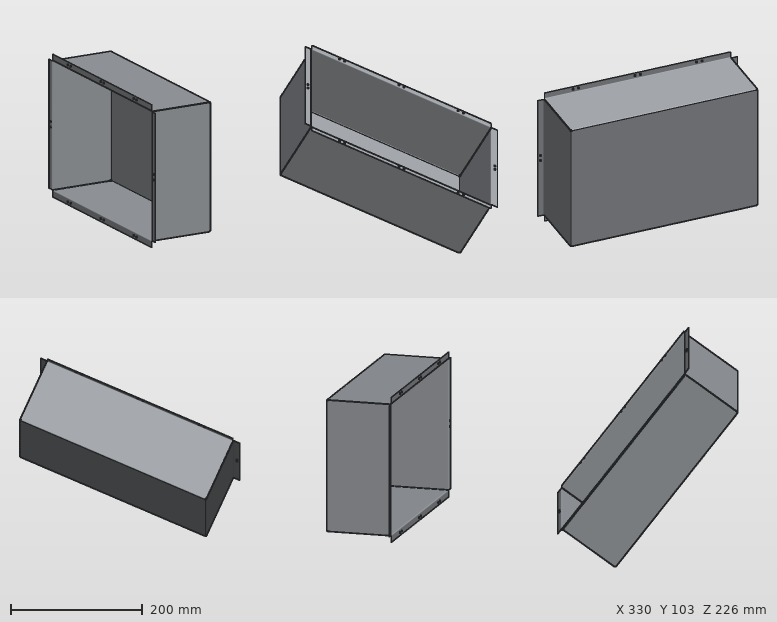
import cadquery as cq

width = 330.0
depth = 103.0
height = 226.0

sheet = 1.0
bend_radius = 0.82

flange_reach = 10.0
corner_gap = 0.15
flange_corner_radius = 1.5

relief = 2.3

hole_diameter = 3.0
hole_spacing = 9.0
pair_offset = 102.0
hole_inset = 4.5

box_width = width - 2 * flange_reach
box_height = height - 2 * flange_reach
front = -depth / 2
back = depth / 2


def folded_side(outer_half, length):
    """Half of the back panel, the side wall at +X and its outward flange."""
    inner_half = outer_half - sheet
    flange_edge = outer_half + flange_reach
    panel_end = inner_half - bend_radius
    flange_start = outer_half + bend_radius
    back_bend_end = back - sheet - bend_radius
    flange_bend_end = front + sheet + bend_radius
    profile = (
        cq.Workplane("XY")
        .moveTo(0, back)
        .lineTo(panel_end, back)
        .radiusArc((outer_half, back_bend_end), bend_radius + sheet)
        .lineTo(outer_half, flange_bend_end)
        .radiusArc((flange_start, front + sheet), -bend_radius)
        .lineTo(flange_edge, front + sheet)
        .lineTo(flange_edge, front)
        .lineTo(flange_start, front)
        .radiusArc((inner_half, flange_bend_end), bend_radius + sheet)
        .lineTo(inner_half, back_bend_end)
        .radiusArc((panel_end, back - sheet), -bend_radius)
        .lineTo(0, back - sheet)
        .close()
    )
    return profile.extrude(length / 2, both=True)


def turn(side, angle):
    """Turn a folded side about the depth axis of the box."""
    return side.rotate((0, 0, 0), (0, 1, 0), angle)


def hole_pair(x, z, along_x):
    """Centres of two holes, side by side along X or along Z."""
    half = hole_spacing / 2
    if along_x:
        return [(x - half, z), (x + half, z)]
    return [(x, z - half), (x, z + half)]


side_clearance = 2 * (sheet + corner_gap)
short_side = folded_side(box_width / 2, box_height - side_clearance)
long_side = folded_side(box_height / 2, box_width - side_clearance)
long_side = long_side.edges("|Y and >X").fillet(flange_corner_radius)
body = (
    short_side.union(turn(short_side, 180))
    .union(turn(long_side, 90))
    .union(turn(long_side, -90))
)

relief_cutters = (
    cq.Workplane("XZ", origin=(0, back, 0))
    .rect(box_width, box_height, forConstruction=True)
    .vertices()
    .rect(2 * relief, 2 * relief)
    .extrude(relief)
)

hole_centres = []
for sign in (-1, 1):
    for pair_x in (-pair_offset, 0, pair_offset):
        hole_centres += hole_pair(pair_x, sign * (height / 2 - hole_inset), True)
    hole_centres += hole_pair(sign * (width / 2 - hole_inset), 0, False)

hole_cutters = (
    cq.Workplane("XZ", origin=(0, front + sheet, 0))
    .pushPoints(hole_centres)
    .circle(hole_diameter / 2)
    .extrude(sheet)
)

result = body.cut(relief_cutters).cut(hole_cutters)